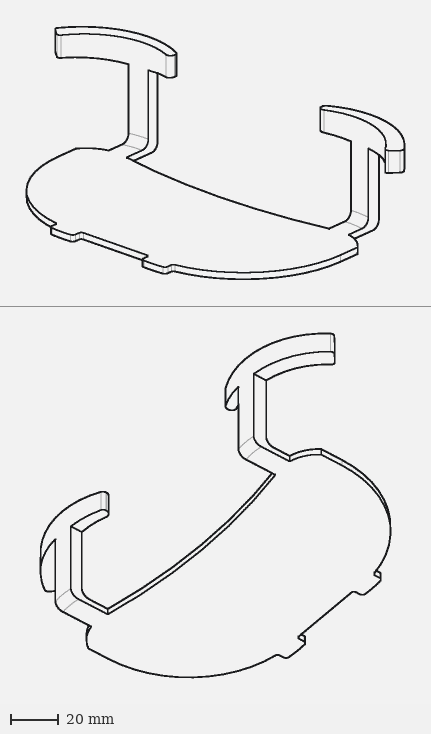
import cadquery as cq
import math

total_height = 50.0
plate_thickness = 3.0

plate_half_width = 78.4
side_rear_y = -27.0
side_front_y = -38.0
front_corner_radius = 53.9
front_edge_y = -91.3
rear_middle_y = -25.5
rear_stem_y = -20.0
shoulder_y = -19.5
shoulder_mid = (-73.4, -22.2)

tab_outer_x = -32.2
tab_inner_x = -19.0
tab_front_y = -96.5
tab_overlap = 5.8
tab_corner_radius = 1.5
tab_root_radius = 1.2

stem_left_x = -66.8
stem_right_x = -56.4
stem_width = stem_right_x - stem_left_x
bend_inner_radius = 3.9
bend_outer_radius = 3.9

outer_radius = 42.0
outer_center = (-61.8, -outer_radius)
inner_radius = 37.7
inner_rear_y = -6.2
inner_center = (-58.9, inner_rear_y - inner_radius)
hook_left_x = -97.1
hook_left_inner_x = -91.1
hook_right_x = -41.0
hook_end_depth = 10.0
hook_stem_depth = 11.8
hook_left_outer_radius = 1.7
hook_left_inner_radius = 1.4
hook_right_corner_radius = 2.1


def rear_arc_y(center, radius, x):
    """Y on the rear half of a circle at the given X."""
    return center[1] + math.sqrt(radius**2 - (x - center[0]) ** 2)


def outer_point(x):
    return (x, rear_arc_y(outer_center, outer_radius, x))


def inner_point(x):
    return (x, rear_arc_y(inner_center, inner_radius, x))


def make_plate():
    corner_center = (front_corner_radius - plate_half_width, side_front_y)
    drop = math.sqrt(front_corner_radius**2 - (tab_outer_x - corner_center[0]) ** 2)
    corner_end = (tab_outer_x, corner_center[1] - drop)
    diagonal = front_corner_radius * math.sqrt(0.5)
    corner_mid = (corner_center[0] - diagonal, corner_center[1] - diagonal)
    rear_rise = rear_stem_y - rear_middle_y
    rear_radius = (stem_right_x**2 + rear_rise**2) / (2 * rear_rise)
    mid_x = stem_right_x / 2
    rear_mid = (mid_x, rear_middle_y + rear_radius - math.sqrt(rear_radius**2 - mid_x**2))
    return (
        cq.Workplane("XY")
        .moveTo(0, rear_middle_y)
        .threePointArc(rear_mid, (stem_right_x, rear_stem_y))
        .lineTo(stem_left_x, shoulder_y)
        .threePointArc(shoulder_mid, (-plate_half_width, side_rear_y))
        .lineTo(-plate_half_width, side_front_y)
        .threePointArc(corner_mid, corner_end)
        .lineTo(tab_inner_x, front_edge_y)
        .lineTo(0, front_edge_y)
        .close()
        .extrude(plate_thickness)
    )


def make_tab():
    """Front tab with an end concentric with the plate's front corner."""
    width = tab_inner_x - tab_outer_x
    length = front_edge_y + tab_overlap - tab_front_y
    block = cq.Workplane("XY").box(width, length, plate_thickness, centered=False)
    block = block.translate((tab_outer_x, tab_front_y, 0))
    end_disc = (
        cq.Workplane("XY")
        .center(front_corner_radius - plate_half_width, side_front_y)
        .circle(side_front_y - tab_front_y)
        .extrude(plate_thickness)
    )
    return block.intersect(end_disc).faces("<Y").edges("|Z").fillet(tab_corner_radius)


def make_stem():
    """L-shaped stem whose upright follows the hook's two arcs."""
    height = total_height - hook_end_depth
    length = -rear_stem_y + tab_overlap
    block = cq.Workplane("XY").box(stem_width, length, height, centered=False)
    block = block.translate((stem_left_x, -length, 0))
    outer_disc = cq.Workplane("XY").center(*outer_center).circle(outer_radius).extrude(height)
    inner_disc = (
        cq.Workplane("XY", origin=(0, 0, plate_thickness))
        .center(*inner_center)
        .circle(inner_radius)
        .extrude(height)
    )
    stem = block.intersect(outer_disc).cut(inner_disc)
    middle_x = (stem_left_x + stem_right_x) / 2
    inner_bend = cq.selectors.NearestToPointSelector((*inner_point(middle_x), plate_thickness))
    outer_bend = cq.selectors.NearestToPointSelector((*outer_point(middle_x), 0))
    stem = stem.edges(inner_bend).fillet(bend_inner_radius)
    return stem.edges(outer_bend).fillet(bend_outer_radius)


def make_hook():
    """Crescent, deepest at the stem and tapering towards both ends."""
    crescent = (
        cq.Workplane("XY")
        .moveTo(*outer_point(hook_left_x))
        .threePointArc((outer_center[0], 0), outer_point(hook_right_x))
        .lineTo(*inner_point(hook_right_x))
        .threePointArc((inner_center[0], inner_rear_y), inner_point(hook_left_inner_x))
        .close()
        .extrude(total_height)
        .edges("|Z and <X")
        .fillet(hook_left_outer_radius)
        .edges("|Z and <Y")
        .fillet(hook_left_inner_radius)
        .faces(">X")
        .edges("|Z")
        .fillet(hook_right_corner_radius)
    )
    end_z = total_height - hook_end_depth
    stem_z = total_height - hook_stem_depth
    side_profile = (
        cq.Workplane("XZ")
        .polyline([
            (hook_left_x, total_height),
            (hook_left_x, end_z),
            (stem_left_x, stem_z),
            (stem_right_x, stem_z),
            (hook_right_x, end_z),
            (hook_right_x, total_height),
        ])
        .close()
        .extrude(outer_radius)
    )
    return crescent.intersect(side_profile)


def round_tab_roots(plate):
    """Fillet the two re-entrant corners where the tab leaves the plate."""
    for x in (tab_outer_x, tab_inner_x):
        root = cq.selectors.NearestToPointSelector((x, front_edge_y, plate_thickness / 2))
        plate = plate.edges("|Z").edges(root).fillet(tab_root_radius)
    return plate


base = round_tab_roots(make_plate().union(make_tab()))
half = base.union(make_stem()).union(make_hook())
result = half.union(half.mirror("YZ"))